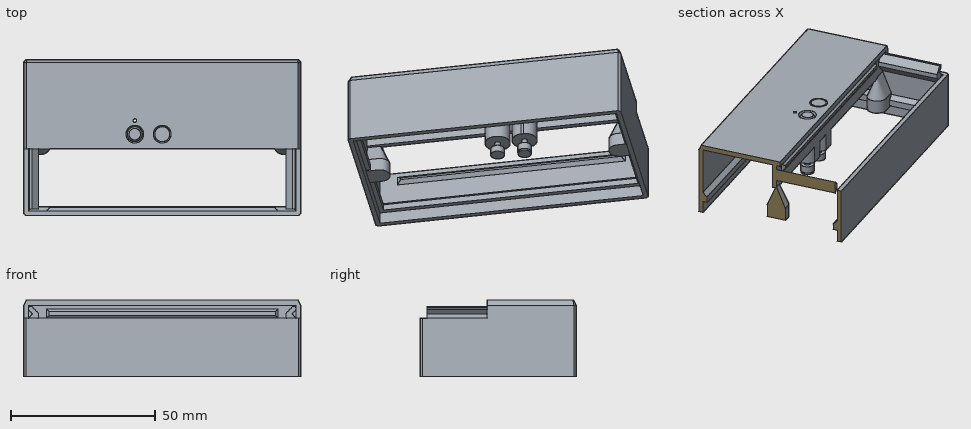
import cadquery as cq
import math

LENGTH = 96.2
DEPTH = 54.2
HEIGHT = 26.6
WALL = 1.6
ROOF = 1.9
CORNER_CHAMFER = 0.8
TOP_CHAMFER_WIDTH = 1.0
TOP_CHAMFER_HEIGHT = 2.0

RIM_HEIGHT = 20.3
ROOF_FRONT = 23.2

LEDGE_WIDTH = 1.5
LEDGE_BOTTOM = 4.3
LEDGE_EDGE = 6.5

CROSS_WALL_FRONT = 24.5
CROSS_WALL_BOTTOM = 15.9

RIDGE_LENGTH = 80.4
RIDGE_HEIGHT = 3.2
CROSS_RIDGE_DEPTH = 1.0
FRONT_RIDGE_DEPTH = 1.25
CROSS_RIDGE_BOTTOM = RIM_HEIGHT
FRONT_RIDGE_BOTTOM = 15.4

RAIL_FRONT = 2.3
RAIL_WIDTH = 3.6
RAIL_TOP = 24.2
RAIL_LAND = 1.25
RAIL_EDGE_CHAMFER_WIDTH = 0.34
RAIL_EDGE_CHAMFER_HEIGHT = 0.5
GROOVE_DEPTH = 1.4

BOSS_SPACING = 84.4
BOSS_DIAMETER = 7.0
BOSS_Y = 24.7
BOSS_BOTTOM = 3.8
BOSS_CONE_BASE = 8.7
BOSS_CONE_HEIGHT = 8.3

LEFT_BUTTON_X = -9.5
RIGHT_BUTTON_X = 0.0
BUTTON_Y = 28.3
GUIDE_DIAMETER = 8.8
GUIDE_BOTTOM = 9.7
STEM_DIAMETER = 2.0
FOOT_DIAMETER = 4.8
FOOT_TOP = 7.3
FOOT_BOTTOM = 4.8
TIP_BOTTOM = 4.1
TIP_DIAMETER = 4.6
RECESS_DIAMETER = 6.2
RECESS_FLOOR_DIAMETER = 5.2
LEFT_CAP_DIAMETER = 4.0
RECESS_DEPTH = 1.0
INDICATOR_DIAMETER = 1.2
INDICATOR_Y = 33.0

INNER_LENGTH = LENGTH - 2 * WALL
INNER_DEPTH = DEPTH - 2 * WALL
INNER_X = INNER_LENGTH / 2
CEILING = HEIGHT - ROOF


def block(length, y_start, y_end, z_start, z_end):
    """Box centred on X, given by its Y and Z limits."""
    size_y = y_end - y_start
    base = cq.Workplane("XY").box(length, size_y, z_end - z_start, centered=(True, False, False))
    return base.translate((0, y_start, z_start))


def disc(x, y, diameter, z_start, z_end):
    return cq.Workplane("XY", origin=(x, y, z_start)).circle(diameter / 2).extrude(z_end - z_start)


def outer_block():
    """Box with chamfered corners, a tapered top edge and a lower front."""
    shoulder = HEIGHT - TOP_CHAMFER_HEIGHT
    body = block(LENGTH, 0, DEPTH, 0, shoulder).edges("|Z").chamfer(CORNER_CHAMFER)
    taper = math.degrees(math.atan2(TOP_CHAMFER_WIDTH, TOP_CHAMFER_HEIGHT))
    top = body.faces(">Z").wires().toPending().workplane().extrude(
        TOP_CHAMFER_HEIGHT, combine=False, taper=taper
    )
    return body.union(top).cut(block(LENGTH, 0, ROOF_FRONT, RIM_HEIGHT, HEIGHT))


def cavity():
    """Inner space, narrowed by the ledge near the bottom."""
    back = DEPTH - WALL
    throat_length = INNER_LENGTH - 2 * LEDGE_WIDTH
    throat_depth = INNER_DEPTH - 2 * LEDGE_WIDTH
    ledge_top = LEDGE_EDGE + LEDGE_WIDTH
    slope = (
        cq.Workplane("XY", origin=(0, DEPTH / 2, LEDGE_EDGE))
        .rect(throat_length, throat_depth)
        .workplane(offset=LEDGE_WIDTH)
        .rect(INNER_LENGTH, INNER_DEPTH)
        .loft(ruled=True)
    )
    throat = block(
        throat_length, WALL + LEDGE_WIDTH, back - LEDGE_WIDTH, LEDGE_BOTTOM, LEDGE_EDGE
    )
    lower = block(INNER_LENGTH, WALL, back, 0, LEDGE_BOTTOM)
    upper = block(INNER_LENGTH, WALL, back, ledge_top, CEILING)
    return lower.union(throat).union(slope).union(upper)


def snap_ridge(base_y, direction, depth, bottom):
    """Ridge with 45 degree flanks and ends, growing from base_y along +Y (1) or -Y (-1)."""
    ridge = (
        cq.Workplane("XY")
        .rect(RIDGE_LENGTH, RIDGE_HEIGHT)
        .workplane(offset=depth)
        .rect(RIDGE_LENGTH - 2 * depth, RIDGE_HEIGHT - 2 * depth)
        .loft(ruled=True)
    )
    ridge = ridge.rotate((0, 0, 0), (1, 0, 0), -90 * direction)
    return ridge.translate((0, base_y, bottom + RIDGE_HEIGHT / 2))


def right_rail():
    """Rail along Y inside the right wall, carried on a 45 degree underside."""
    inner_x = INNER_X - RAIL_WIDTH
    land_x = INNER_X - RAIL_LAND
    groove_top = RIM_HEIGHT + 2 * GROOVE_DEPTH
    profile = [
        (INNER_X, RIM_HEIGHT - RAIL_WIDTH),
        (INNER_X, RIM_HEIGHT),
        (INNER_X - GROOVE_DEPTH, RIM_HEIGHT + GROOVE_DEPTH),
        (INNER_X, groove_top),
        (INNER_X, RAIL_TOP - RAIL_EDGE_CHAMFER_HEIGHT),
        (INNER_X - RAIL_EDGE_CHAMFER_WIDTH, RAIL_TOP),
        (land_x, RAIL_TOP),
        (inner_x, RAIL_TOP - (land_x - inner_x)),
        (inner_x, RIM_HEIGHT),
    ]
    rail = cq.Workplane("XZ").polyline(profile).close().extrude(RAIL_FRONT - CROSS_WALL_FRONT)
    return rail.translate((0, RAIL_FRONT, 0))


def right_boss():
    """Round boss with a cone on top, joined to the right wall by a roofed block."""
    x = BOSS_SPACING / 2
    radius = BOSS_DIAMETER / 2
    apex = BOSS_CONE_BASE + BOSS_CONE_HEIGHT
    roofed_outline = [
        (BOSS_Y - radius, BOSS_BOTTOM),
        (BOSS_Y + radius, BOSS_BOTTOM),
        (BOSS_Y + radius, BOSS_CONE_BASE),
        (BOSS_Y, apex),
        (BOSS_Y - radius, BOSS_CONE_BASE),
    ]
    link = cq.Workplane("YZ", origin=(x, 0, 0)).polyline(roofed_outline).close().extrude(INNER_X - x)
    post = disc(x, BOSS_Y, BOSS_DIAMETER, BOSS_BOTTOM, BOSS_CONE_BASE)
    cone = cq.Solid.makeCone(radius, 0, BOSS_CONE_HEIGHT, cq.Vector(x, BOSS_Y, BOSS_CONE_BASE))
    return link.union(post).union(cq.Workplane(cone))


def button_guide(x):
    """Guide with a flat front, a stem and a wider foot below."""
    front = block(LENGTH, 0, CROSS_WALL_FRONT, 0, HEIGHT)
    guide = disc(x, BUTTON_Y, GUIDE_DIAMETER, GUIDE_BOTTOM, HEIGHT).cut(front)
    stem = disc(x, BUTTON_Y, STEM_DIAMETER, FOOT_TOP, GUIDE_BOTTOM)
    foot = disc(x, BUTTON_Y, FOOT_DIAMETER, FOOT_BOTTOM, FOOT_TOP)
    return guide.union(stem).union(foot)


def button_groove(x, cap_diameter):
    """Ring groove around a button cap, with a sloped outer side."""
    profile = [
        (RECESS_FLOOR_DIAMETER / 2, HEIGHT - RECESS_DEPTH),
        (RECESS_DIAMETER / 2, HEIGHT),
        (cap_diameter / 2, HEIGHT),
    ]
    groove = cq.Workplane("XZ").polyline(profile).close().revolve(360, (0, 0), (0, 1))
    return groove.translate((x, BUTTON_Y, 0))


result = outer_block().cut(cavity())
result = result.union(
    block(INNER_LENGTH, CROSS_WALL_FRONT, CROSS_WALL_FRONT + WALL, CROSS_WALL_BOTTOM, CEILING)
)
result = result.union(snap_ridge(CROSS_WALL_FRONT, -1, CROSS_RIDGE_DEPTH, CROSS_RIDGE_BOTTOM))
result = result.union(snap_ridge(WALL, 1, FRONT_RIDGE_DEPTH, FRONT_RIDGE_BOTTOM))

for end_part in (right_rail(), right_boss()):
    result = result.union(end_part).union(end_part.mirror("YZ"))

for button_x in (LEFT_BUTTON_X, RIGHT_BUTTON_X):
    result = result.union(button_guide(button_x), clean=False)
left_tip = disc(LEFT_BUTTON_X, BUTTON_Y, TIP_DIAMETER, TIP_BOTTOM, FOOT_BOTTOM)
result = result.union(left_tip, clean=False)
for button_x, cap_diameter in (
    (LEFT_BUTTON_X, LEFT_CAP_DIAMETER),
    (RIGHT_BUTTON_X, RECESS_FLOOR_DIAMETER),
):
    result = result.cut(button_groove(button_x, cap_diameter), clean=False)
indicator_hole = disc(LEFT_BUTTON_X, INDICATOR_Y, INDICATOR_DIAMETER, 0, HEIGHT)
result = result.cut(indicator_hole, clean=False)